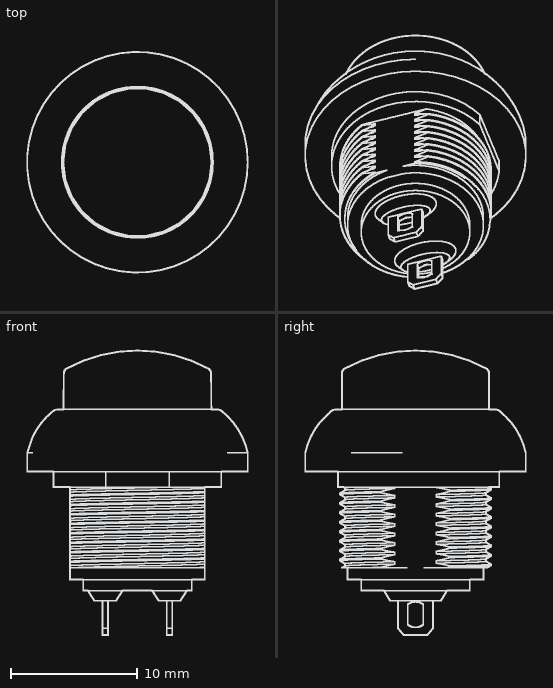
import cadquery as cq
import math

boot_bottom_z = 2.7
boot_top_z = 3.52
base_top_z = 4.4
thread_bottom_z = 5.32
thread_top_z = 11.72
flange_bottom_z = 12.94
flange_edge_z = 14.43
rim_top_z = 17.87
button_shoulder_z = 20.98
button_top_z = 22.55

flange_radius = 17.5 / 2
rim_radius = 6.51
curve_radius = 8.0
curve_z = 16.25
rim_fillet = 0.59
recess_radius = 12.0 / 2

collar_radius = 13.3 / 2
collar_flat_y = -6.15

thread_radius = 12.0 / 2
thread_pitch = 2 * thread_radius / 16
thread_depth = 0.4
thread_crest_width = thread_pitch / 8
thread_root_width = thread_pitch / 4
thread_groove_z = 6.3
thread_groove_clearance = 0.02
thread_runout_turns = 2
end_disc_radius = 5.39
barrel_flat_x = 5.35
base_radius = 8.6 / 2

terminal_x = 2.55
boot_top_width = 2.77
boot_top_length = 5.0
boot_bottom_width = 1.71
boot_bottom_length = 4.01
terminal_thickness = 0.45
terminal_width = 2.8
terminal_tip_width = 1.9
terminal_tip_height = 0.55
terminal_hole_diameter = 2.0
terminal_hole_width = 1.22
terminal_hole_z = 1.62

button_foot_radius = 5.9
button_shoulder_radius = 5.84
button_edge_fillet = 0.45


def disc(radius, bottom_z, top_z):
    return cq.Workplane("XY").workplane(offset=bottom_z).circle(radius).extrude(top_z - bottom_z)


def make_flange():
    """Wide disc with a rounded flank rising to the rim around the button recess."""
    flange = (
        cq.Workplane("XZ")
        .moveTo(0, flange_bottom_z)
        .lineTo(flange_radius, flange_bottom_z)
        .lineTo(flange_radius, flange_edge_z)
        .threePointArc((curve_radius, curve_z), (rim_radius, rim_top_z))
        .lineTo(0, rim_top_z)
        .close()
        .revolve(360, (0, 0, 0), (0, 1, 0))
    )
    flange = flange.faces(">Z").edges().fillet(rim_fillet)
    return flange.cut(disc(recess_radius, flange_edge_z, rim_top_z))


def make_collar():
    collar = disc(collar_radius, thread_top_z, flange_bottom_z)
    size = 2 * collar_radius
    beyond_flat = cq.Workplane("XY").box(size, size, button_top_z).translate(
        (0, collar_flat_y - size / 2, button_top_z / 2)
    )
    return collar.cut(beyond_flat)


def make_thread_groove():
    """Right-handed V groove with a flat root, cut along a helix and trimmed to the threaded length."""
    start_z = thread_groove_z - (thread_runout_turns + 1) * thread_pitch
    height = thread_top_z + thread_runout_turns * thread_pitch - start_z
    root_radius = thread_radius - thread_depth
    helix = cq.Wire.makeHelix(thread_pitch, height, root_radius)

    outer_radius = thread_radius + thread_groove_clearance
    flank_slope = (thread_pitch - thread_crest_width - thread_root_width) / 2 / thread_depth
    half_root = thread_root_width / 2
    half_mouth = half_root + flank_slope * (outer_radius - root_radius)
    profile = (
        cq.Workplane("XZ")
        .moveTo(root_radius, -half_root)
        .lineTo(outer_radius, -half_mouth)
        .lineTo(outer_radius, half_mouth)
        .lineTo(root_radius, half_root)
        .close()
    )
    groove = profile.sweep(cq.Workplane(helix), isFrenet=True)
    groove = groove.rotate((0, 0, 0), (0, 0, 1), -90).translate((0, 0, start_z))
    return groove.intersect(disc(flange_radius, thread_bottom_z, thread_top_z))


def make_barrel():
    """Threaded barrel and plain end disc, trimmed by the two X flats."""
    thread = disc(thread_radius, thread_bottom_z, thread_top_z).cut(make_thread_groove())
    barrel = thread.union(disc(end_disc_radius, base_top_z, thread_bottom_z))
    between_flats = (
        cq.Workplane("XY")
        .workplane(offset=base_top_z)
        .rect(2 * barrel_flat_x, 2 * collar_radius)
        .extrude(thread_top_z - base_top_z)
    )
    return barrel.intersect(between_flats)


def make_boot():
    """Oval boot that tapers downwards from the base."""
    return (
        cq.Workplane("XY")
        .workplane(offset=boot_bottom_z)
        .ellipse(boot_bottom_length / 2, boot_bottom_width / 2, rotation_angle=-90)
        .workplane(offset=boot_top_z - boot_bottom_z)
        .ellipse(boot_top_length / 2, boot_top_width / 2, rotation_angle=-90)
        .loft()
    )


def make_terminal():
    """Flat blade with a chamfered tip and a round hole narrowed by two straight sides."""
    blade = (
        cq.Workplane("YZ")
        .moveTo(-terminal_tip_width / 2, 0)
        .lineTo(terminal_tip_width / 2, 0)
        .lineTo(terminal_width / 2, terminal_tip_height)
        .lineTo(terminal_width / 2, boot_bottom_z)
        .lineTo(-terminal_width / 2, boot_bottom_z)
        .lineTo(-terminal_width / 2, terminal_tip_height)
        .close()
        .extrude(terminal_thickness / 2, both=True)
    )
    hole_plane = cq.Workplane("YZ", origin=(0, 0, terminal_hole_z))
    round_hole = hole_plane.circle(terminal_hole_diameter / 2).extrude(terminal_thickness, both=True)
    straight_sides = hole_plane.rect(terminal_hole_width, 2 * terminal_hole_diameter).extrude(
        terminal_thickness, both=True
    )
    return blade.cut(round_hole.intersect(straight_sides))


def make_housing():
    housing = make_flange().union(make_collar()).union(make_barrel())
    housing = housing.union(disc(base_radius, boot_top_z, base_top_z))
    terminal = make_boot().union(make_terminal())
    for x in (-terminal_x, terminal_x):
        housing = housing.union(terminal.translate((x, 0, 0)))
    return housing


def make_button():
    """Button standing on the recess floor, with a spherical dome and a rounded shoulder."""
    dome_height = button_top_z - button_shoulder_z
    dome_radius = (button_shoulder_radius**2 + dome_height**2) / (2 * dome_height)
    half_angle = math.asin(button_shoulder_radius / dome_radius) / 2
    dome_middle = (
        dome_radius * math.sin(half_angle),
        button_top_z - dome_radius * (1 - math.cos(half_angle)),
    )
    button = (
        cq.Workplane("XZ")
        .moveTo(0, flange_edge_z)
        .lineTo(button_foot_radius, flange_edge_z)
        .lineTo(button_shoulder_radius, button_shoulder_z)
        .threePointArc(dome_middle, (0, button_top_z))
        .close()
        .revolve(360, (0, 0, 0), (0, 1, 0))
    )
    shoulder = cq.selectors.BoxSelector(
        (-flange_radius, -flange_radius, button_shoulder_z - button_edge_fillet),
        (flange_radius, flange_radius, button_shoulder_z + button_edge_fillet),
        boundingbox=True,
    )
    return button.edges(shoulder).fillet(button_edge_fillet)


housing = make_housing()
button = make_button()
result = cq.Compound.makeCompound([housing.solids().val(), button.solids().val()])